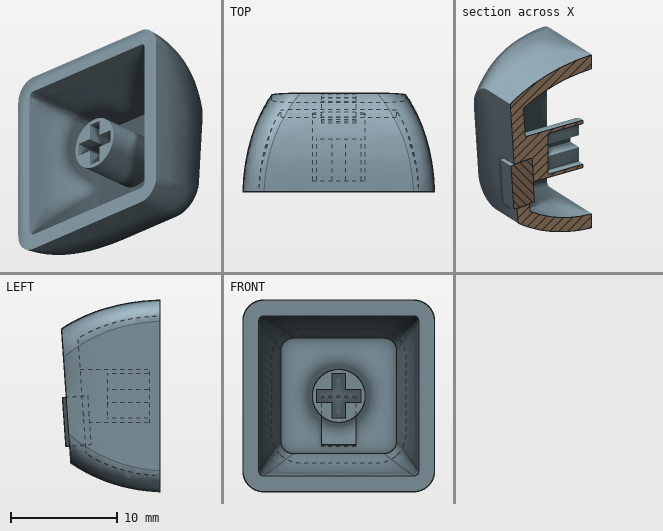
import cadquery as cq
import math

BASE_SIZE = 18.1
BASE_RADIUS = 2.0
TOP_SIZE = 12.67
TOP_RADIUS = 2.72
TOP_DEPTH = 8.87
TOP_TILT = 4.0

WALL = 1.5
CAVITY_SIZE = BASE_SIZE - 2 * WALL
CAVITY_RADIUS = 0.49
FLOOR_SIZE = 10.91
FLOOR_RADIUS = 1.18
FLOOR_DEPTH = TOP_DEPTH - WALL

STEM_DIAMETER = 5.0
STEM_RECESS = 1.0
CROSS_LENGTH = 4.2
CROSS_WIDTH = 1.25
CROSS_DEPTH = 3.98

INSERT_WIDTH = 3.24
INSERT_LENGTH = 4.62
INSERT_OFFSET = -2.45
INSERT_RAISE = 0.36
INSERT_DROP = 0.55

MID_FRACTION = 0.5
MID_TAPER = MID_FRACTION ** 2


def depth_plane(depth, tilt=0.0):
    """Plane across the Y axis, with local x along X, local y along Z, and normal along -Y."""
    angle = math.radians(tilt)
    normal = cq.Vector(0, -math.cos(angle), math.sin(angle))
    return cq.Plane(origin=(0, depth, 0), xDir=(1, 0, 0), normal=normal)


def rounded_square(plane, size, radius):
    """Closed wire of a square with rounded corners."""
    square = cq.Workplane(plane).rect(size, size).val()
    return square.fillet2D(radius, square.Vertices())


def curved_taper(base_size, base_radius, end_size, end_radius, depth):
    """Solid that narrows from the rim to a tilted end face with bulging sides."""
    mid_size = base_size + MID_TAPER * (end_size - base_size)
    mid_radius = base_radius + MID_TAPER * (end_radius - base_radius)
    sections = [
        rounded_square(depth_plane(0), base_size, base_radius),
        rounded_square(depth_plane(MID_FRACTION * depth, MID_FRACTION * TOP_TILT), mid_size, mid_radius),
        rounded_square(depth_plane(depth, TOP_TILT), end_size, end_radius),
    ]
    return cq.Workplane(obj=cq.Solid.makeLoft(sections))


def make_stem():
    """Round post from the top wall towards the rim, with the cross socket in its end."""
    root_depth = (FLOOR_DEPTH + TOP_DEPTH) / 2
    end = cq.Workplane(depth_plane(STEM_RECESS))
    stem = end.circle(STEM_DIAMETER / 2).extrude(STEM_RECESS - root_depth)
    across = end.rect(CROSS_LENGTH, CROSS_WIDTH).extrude(-CROSS_DEPTH)
    upright = end.rect(CROSS_WIDTH, CROSS_LENGTH).extrude(-CROSS_DEPTH)
    return stem.cut(across).cut(upright)


def make_insert():
    """Tilted plate standing proud of the top wall on both sides."""
    wall_thickness = (TOP_DEPTH - FLOOR_DEPTH) * math.cos(math.radians(TOP_TILT))
    thickness = INSERT_RAISE + wall_thickness + INSERT_DROP
    return (
        cq.Workplane(depth_plane(TOP_DEPTH, TOP_TILT))
        .workplane(offset=-INSERT_RAISE)
        .center(0, INSERT_OFFSET)
        .rect(INSERT_WIDTH, INSERT_LENGTH)
        .extrude(thickness)
    )


def make_cap(insert):
    """Hollow cap with its stem and a hole that fits the insert."""
    outside = curved_taper(BASE_SIZE, BASE_RADIUS, TOP_SIZE, TOP_RADIUS, TOP_DEPTH)
    cavity = curved_taper(CAVITY_SIZE, CAVITY_RADIUS, FLOOR_SIZE, FLOOR_RADIUS, FLOOR_DEPTH)
    return outside.cut(cavity).union(make_stem()).cut(insert).solids()


insert = make_insert()
cap = make_cap(insert)

result = cq.Compound.makeCompound([cap.val(), insert.val()])